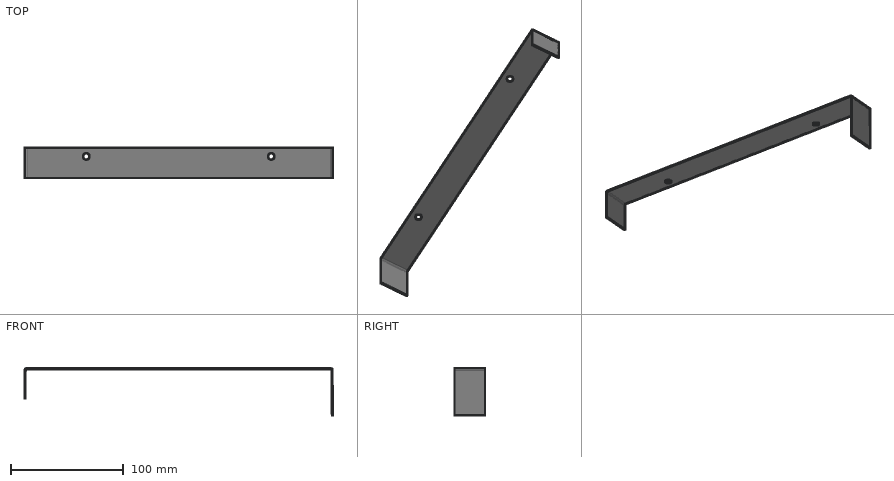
import cadquery as cq

length = 274.0
width = 27.0
long_leg = 42.0
short_leg = 27.0

long_leg_splay = 0.16

thickness = 1.0
inner_bend_radius = 1.0
outer_bend_radius = inner_bend_radius + thickness

hole_diameter = 5.5
hole_spacing = 164.5
hole_from_left_end = 54.8
hole_from_back_edge = 8.0

left = -length / 2
right_foot = length / 2
right_top = right_foot - long_leg_splay
inner_left = left + thickness
inner_right_foot = right_foot - thickness
inner_right_top = right_top - thickness + long_leg_splay * thickness / long_leg


def bent_strip():
    """Top web and two unequal legs, with rounded bends; the top face is at z = 0."""
    strip = (
        cq.Workplane("XZ")
        .moveTo(left, 0)
        .lineTo(right_top, 0)
        .lineTo(right_foot, -long_leg)
        .lineTo(inner_right_foot, -long_leg)
        .lineTo(inner_right_top, -thickness)
        .lineTo(inner_left, -thickness)
        .lineTo(inner_left, -short_leg)
        .lineTo(left, -short_leg)
        .close()
        .extrude(width / 2, both=True)
    )
    bends = (
        (left, 0, outer_bend_radius),
        (right_top, 0, outer_bend_radius),
        (inner_left, -thickness, inner_bend_radius),
        (inner_right_top, -thickness, inner_bend_radius),
    )
    for x, z, radius in bends:
        corner = cq.selectors.NearestToPointSelector((x, 0, z))
        strip = strip.edges("|Y").edges(corner).fillet(radius)
    return strip


def mounting_holes():
    """Cutters for the two holes through the web."""
    first_x = left + hole_from_left_end
    hole_y = width / 2 - hole_from_back_edge
    centers = [(first_x, hole_y), (first_x + hole_spacing, hole_y)]
    return cq.Workplane("XY").pushPoints(centers).circle(hole_diameter / 2).extrude(-thickness)


result = bent_strip().cut(mounting_holes())